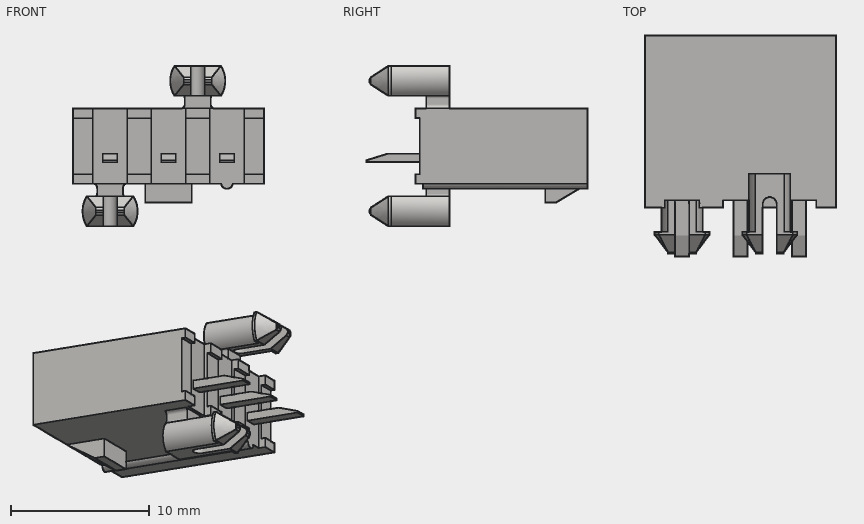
import cadquery as cq
import math


OVERALL_LENGTH = 15.95
OVERALL_HEIGHT = 11.56

PITCH = 4.21
HOUSING_WIDTH = 13.8
HOUSING_HEIGHT = 5.44
HOUSING_LENGTH = 12.41
BAY_WIDTH = 2.49
BAY_DEPTH = 0.53
PAD_HEIGHT = 0.7
PAD_STANDOFF = 0.3

TAIL_WIDTH = 1.02
TAIL_BOTTOM = -1.15
TAIL_THICKNESS = 0.6
TAIL_TIP_THICKNESS = 0.13
TAIL_REACH = OVERALL_LENGTH - HOUSING_LENGTH
TAIL_TAPER_START = 2.01

PEG_X_TOP = PITCH / 2
PEG_X_BOTTOM = -PITCH
PEG_RADIUS = 1.5
PEG_THICKNESS = 2.17
PEG_TOP = OVERALL_HEIGHT / 2
PEG_BACK = 2.45
PEG_SLOT_WIDTH = 1.0
PEG_SLOT_END = 0.75
HEAD_RADIUS = 2.0
HEAD_START = 1.75
HEAD_RIM = 0.19
HEAD_TIP = 3.32
HEAD_TIP_WIDTH = 2.04
HEAD_TIP_THICKNESS = 0.55
HEAD_TIP_CHAMFER = 0.11
HEAD_TIP_FLAT = 0.18

WEB_WIDTH = 1.88
WEB_LENGTH = 1.69
WEB_HOUSING_WIDTH = 2.3
WEB_HOUSING_FLARE = 0.29
WEB_PEG_WIDTH = 2.01
WEB_PEG_FLARE = 0.18

LATCH_WIDTH = 3.37
LATCH_LENGTH = 3.06
LATCH_HEIGHT = 1.35
LATCH_FLAT = 0.78
RIB_RADIUS = 0.43
RIB_HEIGHT = 0.37

OVERLAP = 0.08

COLUMNS = [-PITCH, 0, PITCH]


def box(x_range, y_range, z_range):
    """Axis-aligned box from its low and high limits."""
    limits = (x_range, y_range, z_range)
    size = [high - low for low, high in limits]
    corner = tuple(low for low, high in limits)
    return cq.Workplane("XY").box(*size, centered=False).translate(corner)


def make_housing():
    """Block with an open bay per contact and pads along the edges of the mounting face."""
    half_width = HOUSING_WIDTH / 2
    half_height = HOUSING_HEIGHT / 2
    inner_height = half_height - PAD_HEIGHT
    housing = box((-half_width, half_width), (0, HOUSING_LENGTH), (-half_height, half_height))
    housing = housing.cut(
        box((-half_width, half_width), (0, PAD_STANDOFF), (-inner_height, inner_height))
    )
    for x in COLUMNS:
        bay_x = (x - BAY_WIDTH / 2, x + BAY_WIDTH / 2)
        housing = housing.cut(box(bay_x, (0, BAY_DEPTH), (-half_height, half_height)))
    return housing


def make_tail(x):
    """Solder tail whose upper face slopes down to a thin tip."""
    top = TAIL_BOTTOM + TAIL_THICKNESS
    root = BAY_DEPTH + OVERLAP
    side = [
        (root, TAIL_BOTTOM),
        (-TAIL_REACH, TAIL_BOTTOM),
        (-TAIL_REACH, TAIL_BOTTOM + TAIL_TIP_THICKNESS),
        (-TAIL_TAPER_START, top),
        (root, top),
    ]
    profile = cq.Workplane("YZ", origin=(x, 0, 0)).polyline(side).close()
    return profile.extrude(TAIL_WIDTH / 2, both=True)


def flattened_round(y, radius):
    """Section at the given Y: a circle about the Y axis cut flat above and below."""
    half_height = PEG_THICKNESS / 2
    half_flat = math.sqrt(radius**2 - half_height**2)
    return (
        cq.Workplane("XZ", origin=(0, y, 0))
        .moveTo(-half_flat, -half_height)
        .lineTo(half_flat, -half_height)
        .threePointArc((radius, 0), (half_flat, half_height))
        .lineTo(-half_flat, half_height)
        .threePointArc((-radius, 0), (-half_flat, -half_height))
        .close()
    )


def make_web(housing_z):
    """Concave-sided web from the peg underside down to housing_z, relative to the peg axis."""
    top = -PEG_THICKNESS / 2
    upper_z = top - WEB_PEG_FLARE
    lower_z = housing_z + WEB_HOUSING_FLARE
    half_web = WEB_WIDTH / 2
    half_peg = WEB_PEG_WIDTH / 2
    half_housing = WEB_HOUSING_WIDTH / 2

    def flare_middle(flare_width, flare_height):
        """Mid point (outward, along) of an arc that leaves the web side tangentially."""
        radius = (flare_width**2 + flare_height**2) / (2 * flare_width)
        angle = math.asin(flare_height / radius) / 2
        return radius * (1 - math.cos(angle)), radius * math.sin(angle)

    peg_out, peg_up = flare_middle(half_peg - half_web, WEB_PEG_FLARE)
    housing_out, housing_down = flare_middle(half_housing - half_web, WEB_HOUSING_FLARE)
    half_section = (
        cq.Workplane("XZ", origin=(0, PEG_BACK, 0))
        .moveTo(0, top + OVERLAP)
        .lineTo(half_peg, top + OVERLAP)
        .lineTo(half_peg, top)
        .threePointArc((half_web + peg_out, upper_z + peg_up), (half_web, upper_z))
        .lineTo(half_web, lower_z)
        .threePointArc((half_web + housing_out, lower_z - housing_down), (half_housing, housing_z))
        .lineTo(half_housing, housing_z - OVERLAP)
        .lineTo(0, housing_z - OVERLAP)
        .close()
        .extrude(WEB_LENGTH)
    )
    return half_section.union(half_section.mirror("YZ"))


def make_peg():
    """Split snap peg above the housing, centred on X = 0."""
    rim_end = HEAD_START + HEAD_RIM
    shank = flattened_round(PEG_BACK, PEG_RADIUS).extrude(PEG_BACK + rim_end)
    rim = flattened_round(-HEAD_START, HEAD_RADIUS).extrude(HEAD_RIM)
    nose_end = HEAD_TIP - HEAD_TIP_CHAMFER
    half_tip = HEAD_TIP_THICKNESS / 2
    nose = (
        flattened_round(-rim_end, HEAD_RADIUS)
        .workplane(offset=nose_end - rim_end)
        .rect(HEAD_TIP_WIDTH, HEAD_TIP_THICKNESS)
        .loft(ruled=True)
    )
    tip_side = [
        (-nose_end, -half_tip),
        (-HEAD_TIP, -HEAD_TIP_FLAT / 2),
        (-HEAD_TIP, HEAD_TIP_FLAT / 2),
        (-nose_end, half_tip),
    ]
    tip = cq.Workplane("YZ").polyline(tip_side).close().extrude(HEAD_TIP_WIDTH / 2, both=True)
    slot_centre = PEG_SLOT_END - PEG_SLOT_WIDTH / 2
    half_slot = PEG_SLOT_WIDTH / 2
    half_height = PEG_THICKNESS / 2
    slot = box((-half_slot, half_slot), (-HEAD_TIP, slot_centre), (-half_height, half_height))
    slot_end = cq.Workplane("XY", origin=(0, slot_centre, 0)).circle(half_slot)
    slot_end = slot_end.extrude(half_height, both=True)
    axis_z = PEG_TOP - half_height
    web = make_web(HOUSING_HEIGHT / 2 - axis_z)
    split_peg = shank.union(rim).union(nose).union(tip).cut(slot).cut(slot_end)
    return split_peg.union(web).translate((0, 0, axis_z))


def make_latch():
    """Latch ramp growing downwards from the mating end along the underside."""
    bottom = -HOUSING_HEIGHT / 2
    front = HOUSING_LENGTH - LATCH_LENGTH
    side = [
        (HOUSING_LENGTH, bottom + OVERLAP),
        (HOUSING_LENGTH, bottom),
        (front + LATCH_FLAT, bottom - LATCH_HEIGHT),
        (front, bottom - LATCH_HEIGHT),
        (front, bottom + OVERLAP),
    ]
    return cq.Workplane("YZ").polyline(side).close().extrude(LATCH_WIDTH / 2, both=True)


def make_rib():
    """Round polarising rib along the underside, from the bay floor to the mating end."""
    centre_z = -HOUSING_HEIGHT / 2 - RIB_HEIGHT + RIB_RADIUS
    return (
        cq.Workplane("XZ", origin=(PITCH, HOUSING_LENGTH, centre_z))
        .circle(RIB_RADIUS)
        .extrude(HOUSING_LENGTH - BAY_DEPTH)
    )


result = make_housing().union(make_latch()).union(make_rib())
for column_x in COLUMNS:
    result = result.union(make_tail(column_x))

peg = make_peg()
result = result.union(peg.translate((PEG_X_TOP, 0, 0)))
result = result.union(peg.mirror("XY").translate((PEG_X_BOTTOM, 0, 0)))